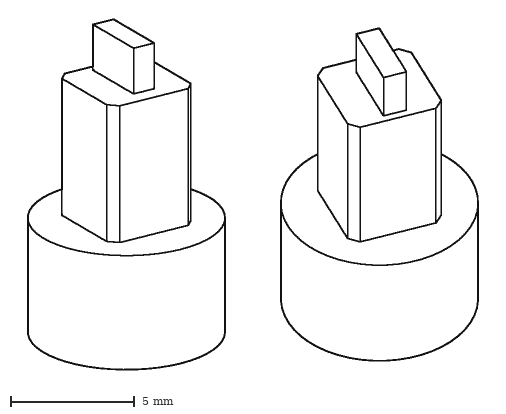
import cadquery as cq

total_height = 13.0
base_height = 5.0
blade_height = 2.0
shank_height = total_height - base_height - blade_height

base_diameter = 8.0
shank_width = 4.08
shank_corner_chamfer = 0.39
blade_length = 3.0
blade_thickness = 1.0
blade_offset_x = -0.21

base = cq.Workplane("XY").circle(base_diameter / 2).extrude(base_height)

shank = (
    cq.Workplane("XY")
    .workplane(offset=base_height)
    .rect(shank_width, shank_width)
    .extrude(shank_height)
    .edges("|Z")
    .chamfer(shank_corner_chamfer)
)

blade = (
    cq.Workplane("XY")
    .workplane(offset=base_height + shank_height)
    .center(blade_offset_x, 0)
    .rect(blade_length, blade_thickness)
    .extrude(blade_height)
)

result = base.union(shank).union(blade)